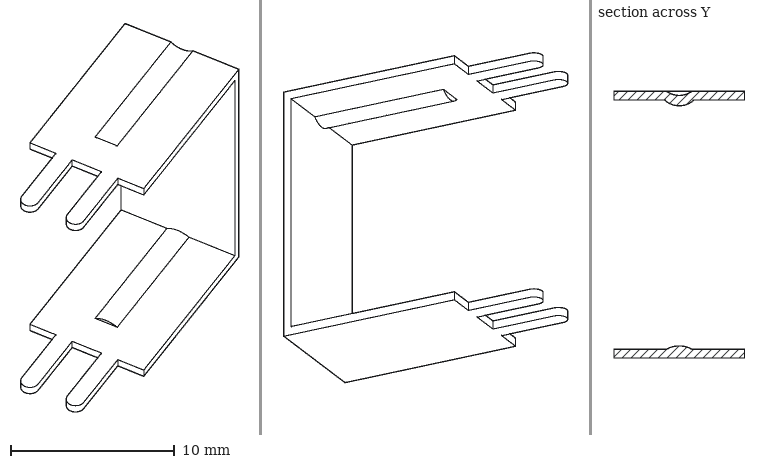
import cadquery as cq

width = 8.0
height = 16.31
length = 16.61
plate_thickness = 0.55
wall_thickness = 0.5

pin_length = 4.8
pin_width = 1.15
pin_pitch = 3.2
pin_tip_radius = pin_width / 2

bead_length = 9.4
upper_rib_width = 1.77
upper_rib_height = 0.35
upper_groove_width = 1.55
upper_groove_depth = 0.25
lower_rib_width = upper_groove_width
lower_rib_height = 0.2

back_y = length / 2
shoulder_y = -length / 2 + pin_length
outer_z = height / 2
inner_z = outer_z - plate_thickness


def box(size_x, y_min, y_max, z_min, z_max, center_x=0):
    """Block centred on center_x, spanning the given Y and Z limits."""
    return (
        cq.Workplane("XY")
        .box(size_x, y_max - y_min, z_max - z_min, centered=(True, False, False))
        .translate((center_x, y_min, z_min))
    )


def pin(center_x, z_min):
    """Flat pin with a full-round tip, joined to the shoulder of a plate."""
    tip_center_y = -length / 2 + pin_tip_radius
    shank = box(pin_width, tip_center_y, shoulder_y, z_min, z_min + plate_thickness, center_x)
    tip = (
        cq.Workplane("XY", origin=(center_x, tip_center_y, z_min))
        .circle(pin_tip_radius)
        .extrude(plate_thickness)
    )
    return shank.union(tip)


def plate(z_min):
    """Horizontal plate with its two pins."""
    body = box(width, shoulder_y, back_y, z_min, z_min + plate_thickness)
    for side in (-1, 1):
        body = body.union(pin(side * pin_pitch / 2, z_min))
    return body


def bead(chord_width, base_z, rise):
    """Circular segment on a chord at base_z, bulging by rise along Z, run along Y to the back."""
    return (
        cq.Workplane("XZ", origin=(0, back_y, 0))
        .moveTo(-chord_width / 2, base_z)
        .threePointArc((0, base_z + rise), (chord_width / 2, base_z))
        .close()
        .extrude(bead_length)
    )


back_wall = box(width, back_y - wall_thickness, back_y, -outer_z, outer_z)
upper_rib = bead(upper_rib_width, inner_z, -upper_rib_height)
upper_groove = bead(upper_groove_width, outer_z, -upper_groove_depth)
lower_rib = bead(lower_rib_width, -inner_z, lower_rib_height)

result = (
    back_wall.union(plate(inner_z))
    .union(plate(-outer_z))
    .union(upper_rib)
    .union(lower_rib)
    .cut(upper_groove)
)